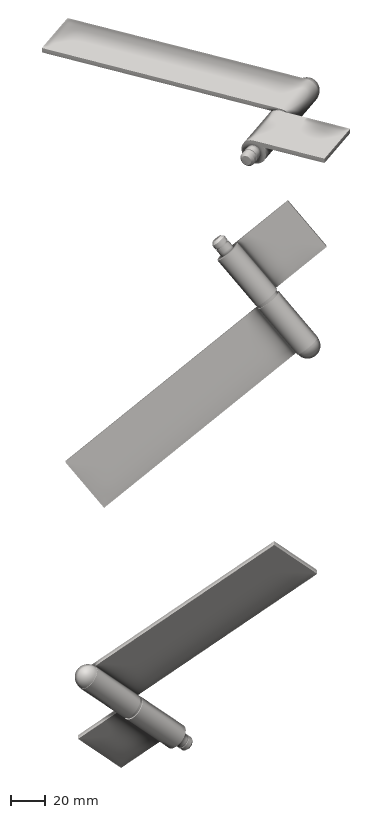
import cadquery as cq


leaf_width = 35.0
leaf_thickness = 3.0
long_leaf_reach = 152.0
short_leaf_reach = 45.0
knuckle_diameter = 15.5
knuckle_radius = knuckle_diameter / 2

washer_diameter = 14.0
washer_thickness = 2.0

pin_diameter = 9.0
pin_radius = pin_diameter / 2
head_radius = 7.5
pin_projection = 10.0
groove_offset = 4.8
groove_width = 1.0
groove_depth = 0.5
tip_chamfer = 1.5

washer_back = washer_thickness / 2
washer_front = -washer_back
head_seat = washer_back + leaf_width
short_leaf_front = washer_front - leaf_width
pin_tip = short_leaf_front - pin_projection
groove_back = short_leaf_front - groove_offset
groove_front = groove_back - groove_width


def cylinder_along_y(diameter, front, length):
    """Solid cylinder on the pin axis, from Y = front towards +Y."""
    return cq.Workplane("XZ", origin=(0, front, 0)).circle(diameter / 2).extrude(-length)


def make_leaf(reach, direction, front):
    """Flat leaf tangent to the top of its knuckle; direction is -1 or +1 along X."""
    knuckle = cylinder_along_y(knuckle_diameter, front, leaf_width)
    plate = cq.Workplane("XY").box(reach, leaf_width, leaf_thickness).translate(
        (direction * reach / 2, front + leaf_width / 2, knuckle_radius - leaf_thickness / 2)
    )
    bore = cylinder_along_y(pin_diameter, front, leaf_width)
    return knuckle.union(plate).cut(bore)


def make_washer():
    """Plain ring that separates the two knuckles."""
    ring = cylinder_along_y(washer_diameter, washer_front, washer_thickness)
    return ring.cut(cylinder_along_y(pin_diameter, washer_front, washer_thickness))


def make_pin():
    """Turned pin: hemispherical head, straight shank, ring groove and chamfered tip."""
    groove_radius = pin_radius - groove_depth
    head_mid = head_radius * 0.5 ** 0.5
    profile = (
        cq.Workplane("YZ")
        .moveTo(pin_tip, 0)
        .lineTo(pin_tip, pin_radius)
        .lineTo(groove_front, pin_radius)
        .lineTo(groove_front, groove_radius)
        .lineTo(groove_back, groove_radius)
        .lineTo(groove_back, pin_radius)
        .lineTo(head_seat, pin_radius)
        .lineTo(head_seat, head_radius)
        .threePointArc((head_seat + head_mid, head_mid), (head_seat + head_radius, 0))
        .close()
    )
    pin = profile.revolve(360, (0, 0, 0), (1, 0, 0))
    return pin.faces("<Y").edges().chamfer(tip_chamfer)


long_leaf = make_leaf(long_leaf_reach, -1, washer_back)
short_leaf = make_leaf(short_leaf_reach, 1, short_leaf_front)
washer = make_washer()
pin = make_pin()

result = cq.Compound.makeCompound([long_leaf.val(), short_leaf.val(), washer.val(), pin.val()])